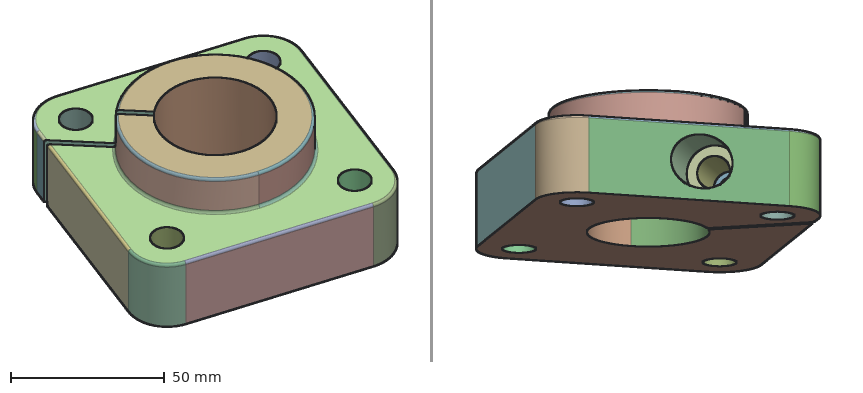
import cadquery as cq
import math

side = 96
base_height = 26.0
corner_radius = 14.0
hole_offset = 34.0
hole_diameter = 11.0

total_height = 40.0
boss_diameter = 65.0
bore_diameter = 40.0
edge_radius = 1

slit_width = 2.0
slit_angle = 30
slit_length = side

screw_distance = 27.7
head_diameter = 18.0
seat_distance = 23.4
clearance_diameter = 11.0
thread_diameter = 8.4
thread_depth = 25


def make_base():
    plate = cq.Workplane("XY").rect(side, side).extrude(base_height)
    plate = plate.edges("|Z").fillet(corner_radius)
    return plate.faces(">Z").edges().fillet(edge_radius)


def make_boss():
    """Boss with a rounded top edge and a small concave fillet where it meets the base."""
    radius = boss_diameter / 2
    height = total_height - base_height
    arc_inset = edge_radius * (1 - math.sqrt(0.5))
    profile = (
        cq.Workplane("XZ")
        .lineTo(radius + edge_radius, 0)
        .threePointArc((radius + arc_inset, arc_inset), (radius, edge_radius))
        .lineTo(radius, height - edge_radius)
        .threePointArc((radius - arc_inset, height - arc_inset), (radius - edge_radius, height))
        .lineTo(0, height)
        .close()
    )
    return profile.revolve(360, (0, 0, 0), (0, 1, 0)).translate((0, 0, base_height))


def make_slit():
    slit = (
        cq.Workplane("XY")
        .center(0, -slit_length / 2)
        .rect(slit_width, slit_length)
        .extrude(total_height)
    )
    return slit.rotate((0, 0, 0), (0, 0, 1), -slit_angle)


angle = math.radians(slit_angle)
screw_center = cq.Vector(
    -screw_distance * math.sin(angle), -screw_distance * math.cos(angle), base_height / 2
)
screw_direction = cq.Vector(math.cos(angle), -math.sin(angle), 0)


def screw_cylinder(diameter, start, end):
    """Cylinder on the screw axis between two distances from the slit middle."""
    origin = screw_center + screw_direction * start
    return cq.Workplane(cq.Solid.makeCylinder(diameter / 2, end - start, origin, screw_direction))


result = make_base().union(make_boss())
result = result.cut(cq.Workplane("XY").circle(bore_diameter / 2).extrude(total_height))

mounting_holes = (
    cq.Workplane("XY")
    .rect(2 * hole_offset, 2 * hole_offset, forConstruction=True)
    .vertices()
    .circle(hole_diameter / 2)
    .extrude(base_height)
)
result = result.cut(mounting_holes)

result = result.cut(make_slit())

result = result.cut(screw_cylinder(head_diameter, -side, -seat_distance))
result = result.cut(screw_cylinder(clearance_diameter, -seat_distance, 0))
result = result.cut(screw_cylinder(thread_diameter, 0, thread_depth))